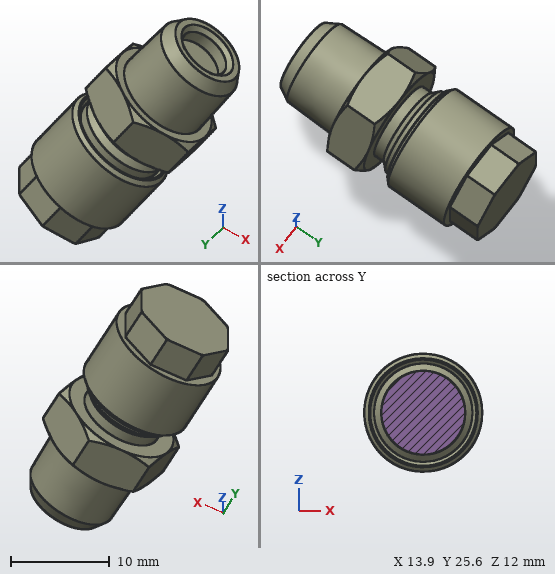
import cadquery as cq
import math

length = 25.6
hex_width = 12.0
octagon_width = 9.98
body_radius = hex_width / 2
collar_radius = octagon_width / 2

thread_lead_end = 1.4
hex_start = 7.5
hex_end = 12.0
neck_end = 13.2
collar_cone_end = 13.93
body_start = 14.6
body_end = 22.1

tip_radius = 4.02
thread_taper = 1 / 16
thread_base_radius = 5.0
thread_front_radius = thread_base_radius - (hex_start - thread_lead_end) * thread_taper / 2
neck_radius = 4.28

hex_chamfer_angle = 30.0
body_chamfer = 0.45
body_lip = 0.15
body_mouth_radius = body_radius - body_chamfer - body_lip
body_mouth_depth = body_mouth_radius - collar_radius
octagon_chamfer_radius = 5.3
octagon_chamfer_angle = 30.0

bore_mouth_radius = 3.25
bore_radius = 2.75
bore_chamfer_depth = bore_mouth_radius - bore_radius
bore_depth = 1.9


def revolve_profile(points):
    """Turn a closed (radius, Y) outline around the Y axis."""
    return cq.Workplane("XY").polyline(points).close().revolve(360, (0, 0, 0), (0, 1, 0))


def prism(sides, width, start, end, turn=0.0):
    """Regular prism along Y, sized across flats, turned about its axis."""
    corner_diameter = width / math.cos(math.pi / sides)
    blank = cq.Workplane("XZ", origin=(0, start, 0)).polygon(sides, corner_diameter)
    return blank.extrude(start - end).rotate((0, 0, 0), (0, 1, 0), turn)


def chamfered_hex():
    """Hexagon with points on X, its corners turned off conically at both ends."""
    corner_radius = body_radius / math.cos(math.pi / 6)
    setback = (corner_radius - body_radius) * math.tan(math.radians(hex_chamfer_angle))
    envelope = revolve_profile([
        (0, hex_start),
        (body_radius, hex_start),
        (corner_radius, hex_start + setback),
        (corner_radius, hex_end - setback),
        (body_radius, hex_end),
        (0, hex_end),
    ])
    return prism(6, hex_width, hex_start, hex_end).intersect(envelope)


def chamfered_octagon():
    """Octagonal end with its corners lightly turned off at the free end."""
    corner_radius = collar_radius / math.cos(math.pi / 8)
    setback = (corner_radius - octagon_chamfer_radius) * math.tan(math.radians(octagon_chamfer_angle))
    envelope = revolve_profile([
        (0, body_end),
        (corner_radius, body_end),
        (corner_radius, length - setback),
        (octagon_chamfer_radius, length),
        (0, length),
    ])
    half_side_angle = 180 / 8
    return prism(8, octagon_width, body_end, length, half_side_angle).intersect(envelope)


def turned_body():
    """Tapered thread, neck, collar and cylindrical nut body in one outline."""
    return revolve_profile([
        (0, 0),
        (tip_radius, 0),
        (thread_front_radius, thread_lead_end),
        (thread_base_radius, hex_start),
        (neck_radius, hex_start),
        (neck_radius, neck_end),
        (collar_radius, collar_cone_end),
        (collar_radius, body_start + body_mouth_depth),
        (body_mouth_radius, body_start),
        (body_radius - body_chamfer, body_start),
        (body_radius, body_start + body_chamfer),
        (body_radius, body_end),
        (0, body_end),
    ])


def bore():
    """Blind bore with a 45 degree countersunk mouth."""
    return revolve_profile([
        (0, 0),
        (bore_mouth_radius, 0),
        (bore_radius, bore_chamfer_depth),
        (bore_radius, bore_depth),
        (0, bore_depth),
    ])


result = turned_body().union(chamfered_hex()).union(chamfered_octagon()).cut(bore())